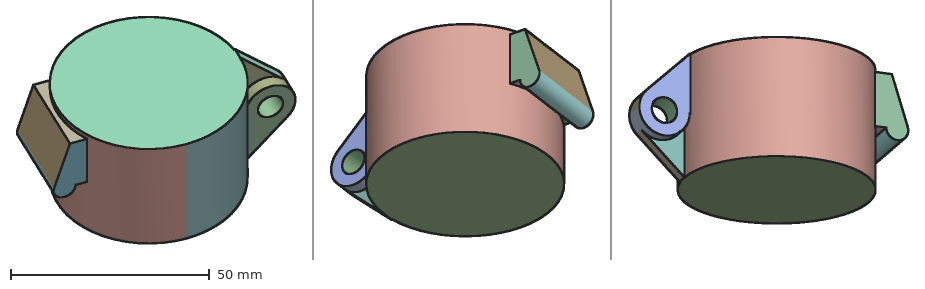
import cadquery as cq
import math

body_diameter = 49.9
body_height = 32
body_radius = body_diameter / 2
mid_height = body_height / 2

lug_radius = 6.8
lug_hole_diameter = 6.8
lug_width = 7.0
lug_center_y = body_radius + lug_radius
gusset_embed = 1.4

latch_width = 24.05
latch_top_drop = 1.45
latch_top_reach = 1.5
latch_bead_radius = 3.0
latch_bead_y = -body_radius - latch_bead_radius


def extrude_x(profile, x_start, x_length):
    """Extrude a YZ profile along +X, starting at x_start."""
    return profile.extrude(x_length).translate((x_start, 0, 0))


def make_gusset(side, x_start):
    """Half-width web from a body rim (side 1 = top, -1 = bottom), tangent to the lug."""
    tangent_angle = 2 * math.atan2(mid_height, lug_radius)
    tangent_y = lug_center_y - lug_radius * math.cos(tangent_angle)
    tangent_z = mid_height + side * lug_radius * math.sin(tangent_angle)
    rim_z = mid_height + side * mid_height
    inner_y = body_radius - gusset_embed
    profile = cq.Workplane("YZ").polyline([
        (inner_y, mid_height),
        (inner_y, rim_z),
        (body_radius, rim_z),
        (tangent_y, tangent_z),
        (lug_center_y, mid_height),
    ]).close()
    return extrude_x(profile, x_start, lug_width / 2)


def make_hinge_lug():
    barrel = cq.Workplane("YZ").center(lug_center_y, mid_height).circle(lug_radius)
    lug = extrude_x(barrel, -lug_width / 2, lug_width)
    lug = lug.union(make_gusset(1, -lug_width / 2)).union(make_gusset(-1, 0))
    hole = cq.Workplane("YZ").center(lug_center_y, mid_height).circle(lug_hole_diameter / 2)
    return lug.cut(extrude_x(hole, -lug_width / 2, lug_width))


def make_latch():
    """Wedge whose sloping face runs tangent into a round bead at its lower edge."""
    top_z = body_height - latch_top_drop
    top_y = -body_radius - latch_top_reach
    rise = top_z - mid_height
    inset = top_y - latch_bead_y
    corner_distance = math.hypot(inset, rise)
    tangent_angle = math.atan2(rise, inset) + math.acos(latch_bead_radius / corner_distance)
    tangent_y = latch_bead_y + latch_bead_radius * math.cos(tangent_angle)
    tangent_z = mid_height + latch_bead_radius * math.sin(tangent_angle)
    inner_y = -math.sqrt(body_radius**2 - (latch_width / 2) ** 2)
    profile = (
        cq.Workplane("YZ")
        .moveTo(inner_y, mid_height)
        .lineTo(inner_y, top_z)
        .lineTo(top_y, top_z)
        .lineTo(tangent_y, tangent_z)
        .threePointArc((latch_bead_y, mid_height - latch_bead_radius), (-body_radius, mid_height))
        .close()
    )
    return extrude_x(profile, -latch_width / 2, latch_width)


body = cq.Workplane("XY").circle(body_radius).extrude(body_height)
result = body.union(make_hinge_lug()).union(make_latch())